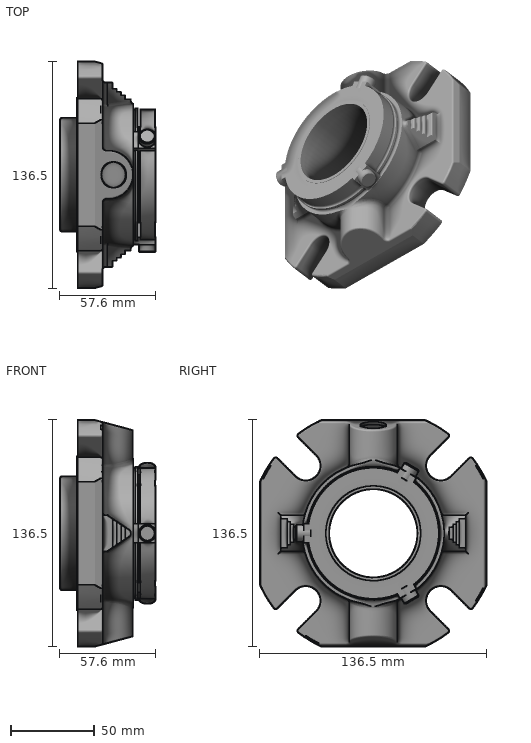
import cadquery as cq
import math


flange_size = 136.5
flange_thickness = 15.0
flange_corner_radius = 75.0
draft_start = 10.3
draft_angle = 15.0
edge_round = 1.1
pilot_diameter = 93.0
pilot_height = 0.5

slot_count = 4
first_slot_angle = 45.0
slot_width = 17.6
slot_pitch_radius = 57.5
slot_tip_round = 1.5

total_length = 57.63
sleeve_rear = -10.7
sleeve_front = sleeve_rear + total_length
bore_diameter = 53.01
rear_sleeve_diameter = 68.81
rear_sleeve_round = 1.7
front_sleeve_diameter = 57.12

housing_radius = 42.7
housing_end = 33.5
housing_trim = 5.0
housing_seam_angle = 45.0
root_radius = 1.8
boss_root_radius = 2.4

boss_radius = 14.5
boss_center_x = 18.8
plug_diameter = 15.5
plug_depth = 1.8
plug_center_x = 21.8

arrow_half_width = 10.8
arrow_shoulder_x = 17.9
arrow_apex_x = 34.1
arrow_tip_round = 2.6
arrow_step_round = 0.8
arrow_step_ends = (21.0, 23.6, 26.1, 28.6, 32.5)
arrow_step_heights = (55.6, 51.8, 50.0, 48.0, 45.6)

seal_diameter = 78.87
flinger_diameter = 80.39
flinger_start = 34.6
seal_end = 36.1
collar_diameter = 78.87
collar_start = 37.8
collar_hub_diameter = 57.63
collar_hub_start = 36.9
collar_end = 46.6

lug_count = 3
lug_width = 11.6
lug_inner = 37.5
lug_outer = 42.0
lug_bridge_end = 36.6
lug_bridge_radius = 42.3
screw_diameter = 10.0
screw_center_x = 41.9
screw_tip = 46.6
screw_chamfer = 0.6

half_size = flange_size / 2
tolerance = 0.01


def disc(diameter, x_start, x_end):
    """Cylinder on the part axis."""
    return cq.Workplane("YZ").workplane(offset=x_start).circle(diameter / 2).extrude(x_end - x_start)


def block(x_start, x_end, y_start, y_end, z_start, z_end):
    size = (x_end - x_start, y_end - y_start, z_end - z_start)
    return cq.Workplane("XY").box(*size, centered=False).translate((x_start, y_start, z_start))


def turn(shape, angle):
    """Rotate a shape about the part axis."""
    return shape.rotate((0, 0, 0), (1, 0, 0), angle)


def drafted_half_size(x):
    """Distance of the leaning flange sides from the axis at x."""
    return half_size - (x - draft_start) * math.tan(math.radians(draft_angle))


def drafted_envelope():
    """Square block whose four sides lean inward beyond draft_start."""
    straight = cq.Workplane("YZ").rect(flange_size, flange_size).extrude(draft_start)
    leaning = (
        cq.Workplane("YZ")
        .workplane(offset=draft_start)
        .rect(flange_size, flange_size)
        .extrude(sleeve_front - draft_start, taper=draft_angle)
    )
    return straight.union(leaning)


def slotted_flange():
    plate = disc(2 * flange_corner_radius, 0, flange_thickness)
    slot_floor = disc(slot_width, 0, flange_thickness).translate((0, slot_pitch_radius, 0))
    slot_mouth = block(
        0, flange_thickness, slot_pitch_radius, flange_size, -slot_width / 2, slot_width / 2
    )
    slot = slot_floor.union(slot_mouth)
    for index in range(slot_count):
        plate = plate.cut(turn(slot, first_slot_angle + index * 360 / slot_count))
    wall_start_radius = tolerance + math.hypot(slot_pitch_radius, slot_width / 2)
    tips = []
    for edge in plate.edges("|X").vals():
        center = edge.Center()
        if math.hypot(center.y, center.z) > wall_start_radius:
            tips.append(edge)
    return plate.newObject(tips).fillet(slot_tip_round)


def grease_boss():
    """Tongue with a round end, reaching from the axis to the flange side."""
    outline = (
        cq.Workplane("XY")
        .moveTo(draft_start, -boss_radius)
        .lineTo(boss_center_x, -boss_radius)
        .threePointArc((boss_center_x + boss_radius, 0), (boss_center_x, boss_radius))
        .lineTo(draft_start, boss_radius)
        .close()
    )
    return outline.extrude(half_size)


def arrow():
    """Arrow-shaped rib pointing to +X whose top falls in steps."""
    prism = (
        cq.Workplane("XZ")
        .polyline([
            (draft_start, -arrow_half_width),
            (arrow_shoulder_x, -arrow_half_width),
            (arrow_apex_x, 0),
            (arrow_shoulder_x, arrow_half_width),
            (draft_start, arrow_half_width),
        ])
        .close()
        .extrude(-half_size)
        .edges("|Y and >X")
        .fillet(arrow_tip_round)
    )
    steps = cq.Workplane("XY").moveTo(draft_start, 0)
    step_start = draft_start
    for step_end, height in zip(arrow_step_ends, arrow_step_heights):
        steps = (
            steps.lineTo(step_start, height)
            .lineTo(step_end - arrow_step_round, height)
            .radiusArc((step_end, height - arrow_step_round), arrow_step_round)
        )
        step_start = step_end
    steps = steps.lineTo(step_start, 0).close()
    return prism.intersect(steps.extrude(arrow_half_width, both=True))


def close(a, b):
    return abs(a - b) < tolerance


def is_behind_flange_front(edge):
    return edge.BoundingBox().xmin < flange_thickness - tolerance


def is_on_flange_front(edge):
    box = edge.BoundingBox()
    return close(box.xmin, flange_thickness) and close(box.xmax, flange_thickness)


def is_on_housing(edge):
    """True where the edge lies on the lasting part of the housing cylinder."""
    if is_behind_flange_front(edge) or edge.BoundingBox().xmax > housing_end:
        return False
    points = (edge.startPoint(), edge.positionAt(0.5), edge.endPoint())
    return all(close(math.hypot(p.y, p.z), housing_radius) for p in points)


def is_boss_root(edge):
    """True where a grease boss meets the flange or the housing."""
    box = edge.BoundingBox()
    within_boss = max(-box.ymin, box.ymax) < boss_radius + tolerance
    on_flank = close(abs(edge.positionAt(0.5).y), boss_radius)
    return within_boss and (is_on_housing(edge) or (is_on_flange_front(edge) and on_flank))


def is_root(edge):
    """True where the housing meets the flange, or an arrow meets the flange or the housing."""
    middle = edge.positionAt(0.5)
    on_flange = is_on_flange_front(edge)
    if is_on_housing(edge):
        beside_arrow = abs(middle.y) > abs(middle.z)
        return on_flange or beside_arrow
    on_arrow_side = close(abs(middle.z), arrow_half_width)
    on_arrow_back = close(abs(middle.y), arrow_step_heights[0])
    is_straight = edge.geomType() == "LINE"
    return on_flange and is_straight and (on_arrow_side or on_arrow_back)


def is_rim(edge):
    """True along the front edge of the flange, its slots and the tops of the grease bosses."""
    if is_behind_flange_front(edge):
        return False
    middle = edge.positionAt(0.5)
    y, z = abs(middle.y), abs(middle.z)
    axis_distance = math.hypot(y, z)
    on_side = close(max(y, z), drafted_half_size(middle.x))
    outside_housing = axis_distance > housing_radius + root_radius + tolerance
    beside_slot = outside_housing and abs(y - z) < slot_width / math.sqrt(2) + tolerance
    on_corner = axis_distance > flange_corner_radius - slot_tip_round
    return on_side or (close(middle.x, flange_thickness) and (beside_slot or on_corner))


def fillet_edges(shape, wanted, radius):
    return shape.newObject([edge for edge in shape.edges().vals() if wanted(edge)]).fillet(radius)


def plug_recess():
    """Shallow round recess square to the sloping top of the +Z boss."""
    recess = cq.Workplane("XY").circle(plug_diameter / 2).extrude(-plug_depth)
    recess = recess.rotate((0, 0, 0), (0, 1, 0), draft_angle)
    return recess.translate((plug_center_x, 0, drafted_half_size(plug_center_x)))


def housing():
    """Flange, housing, grease bosses and arrows with their fillets."""
    body = slotted_flange()
    for angle in (0, 180):
        body = body.union(turn(grease_boss(), angle))
    body = body.intersect(drafted_envelope())
    body = body.union(turn(disc(2 * housing_radius, 0, housing_end + housing_trim), housing_seam_angle))
    for angle in (0, 180):
        body = body.union(turn(arrow(), angle))
    body = fillet_edges(body, is_boss_root, boss_root_radius)
    body = fillet_edges(body, is_root, root_radius)
    body = fillet_edges(body, is_rim, edge_round)
    body = body.cut(disc(flange_size, housing_end, housing_end + housing_trim))
    return body.cut(plug_recess()).union(disc(pilot_diameter, -pilot_height, 0))


def sleeve():
    rear = disc(rear_sleeve_diameter, sleeve_rear, 0).faces("<X").edges().fillet(rear_sleeve_round)
    return rear.union(disc(front_sleeve_diameter, 0, sleeve_front))


def seal():
    ring = disc(seal_diameter, housing_end, seal_end)
    return ring.union(disc(flinger_diameter, flinger_start, seal_end))


def lug():
    """Lug on the -Y side with its bridge to the housing and its set screw."""
    half_width = lug_width / 2
    pad = block(lug_bridge_end, collar_end, -lug_outer, -lug_inner, -half_width, half_width)
    bridge = block(housing_end, lug_bridge_end, -half_size, -lug_inner, -half_width, half_width)
    bridge = bridge.intersect(disc(2 * lug_bridge_radius, housing_end, lug_bridge_end))
    screw = (
        cq.Workplane("XZ")
        .center(screw_center_x, 0)
        .workplane(offset=lug_inner)
        .circle(screw_diameter / 2)
        .extrude(screw_tip - lug_inner)
        .faces("<Y")
        .chamfer(screw_chamfer)
    )
    return pad.union(bridge).union(screw)


def locking_collar():
    collar = disc(collar_diameter, collar_start, collar_end)
    collar = collar.union(disc(collar_hub_diameter, collar_hub_start, collar_start))
    for index in range(lug_count):
        collar = collar.union(turn(lug(), index * 360 / lug_count))
    return collar


part = housing().union(sleeve()).union(seal()).union(locking_collar())
result = part.cut(disc(bore_diameter, sleeve_rear, sleeve_front))